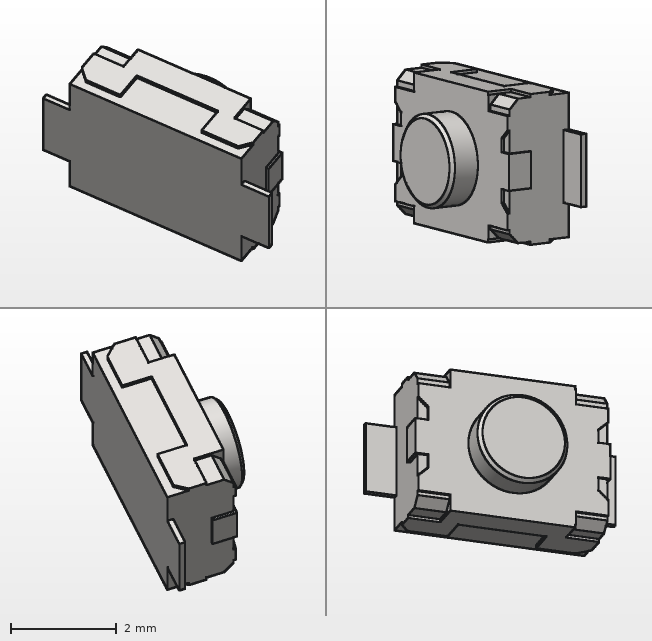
import cadquery as cq

body_width = 3.8
total_height = 2.9
cover_back = 1.4
button_back = 2
sheet = 0.06
back_sheet = 0.05
left_clip_sheet = 0.045
right_clip_sheet = 0.06

half_width = body_width / 2
half_height = total_height / 2
body_half_height = half_height - sheet
body_back = cover_back - back_sheet

offset_z = -0.015
button_diameter = 1.8
button_chamfer = 0.075
lug_left = -2.49
lug_right = lug_left + 5
lug_height = 1.4
lug_thickness = 0.12

wall_front = 0.2
window_back = 0.8
window_right = 0.9
window_left_upper = -0.9
window_left_lower = -0.87
left_chamfer = 0.24
right_chamfer = 0.19
chamfer_back = 0.44

left_notch_width = 0.66
left_bevel_length = 0.645
right_notch_width = 0.64
left_notch_front = 0.875
right_notch_front = 0.8
upper_notch_z = 1.08
lower_notch_z = -1.12
body_chamfer = 0.19

clip_height = 0.71
clip_front = 0.9
gap_depth = 0.2
gap_outer_z = 0.8
gap_slope = 0.18


def block(x0, x1, y0, y1, z0, z1):
    """Axis-aligned box between opposite corners."""
    return cq.Workplane("XY").box(x1 - x0, y1 - y0, z1 - z0, centered=False).translate((x0, y0, z0))


def side_wall(z_bottom, window_left):
    """Cover wall with two legs, cut corners and a central window."""
    outline = [
        (-half_width, cover_back),
        (-half_width, chamfer_back),
        (-half_width + left_chamfer, wall_front),
        (window_left, wall_front),
        (window_left, window_back),
        (window_right, window_back),
        (window_right, wall_front),
        (half_width - right_chamfer, wall_front),
        (half_width, chamfer_back),
        (half_width, cover_back),
    ]
    return cq.Workplane("XY").workplane(offset=z_bottom).polyline(outline).close().extrude(sheet)


def corner_notch(side, z0, z1):
    """Cutter for a cover corner, from the notch front edge to the back."""
    if side < 0:
        notch_end = -half_width + left_notch_width
        bevel_end = -half_width + left_bevel_length
        notch = block(-half_width, bevel_end, left_notch_front, cover_back, z0, z1)
        wall_notch = block(-half_width, notch_end, left_notch_front, cover_back, z0, z1)
        housing_zone = block(-half_width, notch_end, 0, cover_back, -body_half_height, body_half_height)
        return notch.union(wall_notch.cut(housing_zone))
    return block(half_width - right_notch_width, half_width, right_notch_front, cover_back, z0, z1)


def clip_gap(x_side, z_side):
    """Cutter for the gap beside a clip, with a sloped outer end."""
    outer_x = x_side * half_width
    inner_x = x_side * (half_width - gap_depth)
    clip_z = z_side * clip_height / 2
    outline = [
        (outer_x, clip_z),
        (inner_x, clip_z),
        (inner_x, z_side * (gap_outer_z - gap_slope)),
        (outer_x, z_side * gap_outer_z),
    ]
    return cq.Workplane("XZ", origin=(0, cover_back, 0)).polyline(outline).close().extrude(back_sheet)


cover = block(-half_width, half_width, body_back, cover_back, -half_height, half_height)
cover = cover.union(side_wall(body_half_height, window_left_upper))
cover = cover.union(side_wall(-half_height, window_left_lower))

body = block(-half_width, half_width, 0, body_back, -body_half_height, body_half_height)
bevelled_body = body.edges("|X and >Y").chamfer(body_chamfer)
bevel_waste = body.cut(bevelled_body)
for side in (-1, 1):
    for notch_z0, notch_z1 in ((upper_notch_z, half_height), (-half_height, lower_notch_z)):
        notch = corner_notch(side, notch_z0, notch_z1)
        cover = cover.cut(notch)
        body = body.cut(bevel_waste.intersect(notch))
    for z_side in (-1, 1):
        cover = cover.cut(clip_gap(side, z_side))

clip_left = -half_width - left_clip_sheet
clip_right = half_width + right_clip_sheet
for x0, x1 in ((clip_left, -half_width), (half_width, clip_right)):
    cover = cover.union(block(x0, x1, clip_front, cover_back, -clip_height / 2, clip_height / 2))

lugs = block(lug_left, lug_right, 0, lug_thickness, offset_z - lug_height / 2, offset_z + lug_height / 2)

button = (
    cq.Workplane("XZ", origin=(0, cover_back, offset_z))
    .circle(button_diameter / 2)
    .extrude(cover_back - button_back)
    .faces(">Y")
    .chamfer(button_chamfer)
)

result = body.union(cover).union(lugs).union(button)